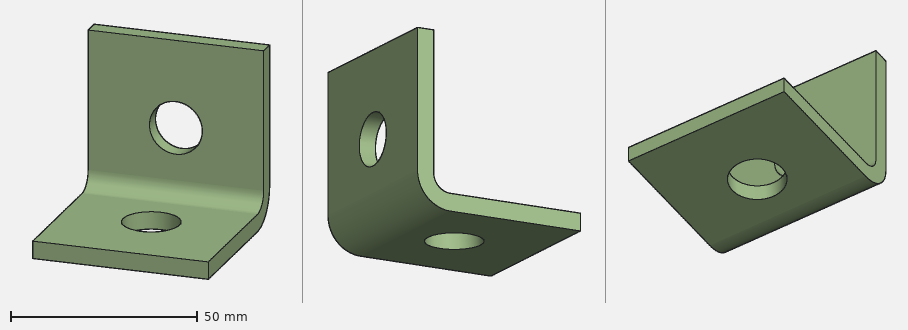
import cadquery as cq

size = 50.0
thickness = 5.0
inner_radius = 5.0
outer_radius = inner_radius + thickness
wall_hole_diameter = 15.0
base_hole_diameter = 16.0
hole_distance = size / 2


def bent_plate():
    """L-shaped plate: base along Y, wall standing at the +Y side."""
    block = cq.Workplane("XY").box(size, size, size, centered=(True, True, False))
    block = block.faces(">Y").edges("<Z").fillet(outer_radius)
    inside = (
        cq.Workplane("XY")
        .box(size, size, size, centered=(True, True, False))
        .faces(">Y")
        .edges("<Z")
        .fillet(inner_radius)
        .translate((0, -thickness, thickness))
    )
    return block.cut(inside)


def wall_hole():
    """Cylinder through the wall, along Y."""
    return (
        cq.Workplane("XZ", origin=(0, size / 2, hole_distance))
        .circle(wall_hole_diameter / 2)
        .extrude(thickness)
    )


def base_hole():
    """Cylinder through the base, along Z."""
    return (
        cq.Workplane("XY", origin=(0, size / 2 - hole_distance, 0))
        .circle(base_hole_diameter / 2)
        .extrude(thickness)
    )


result = bent_plate().cut(wall_hole()).cut(base_hole())